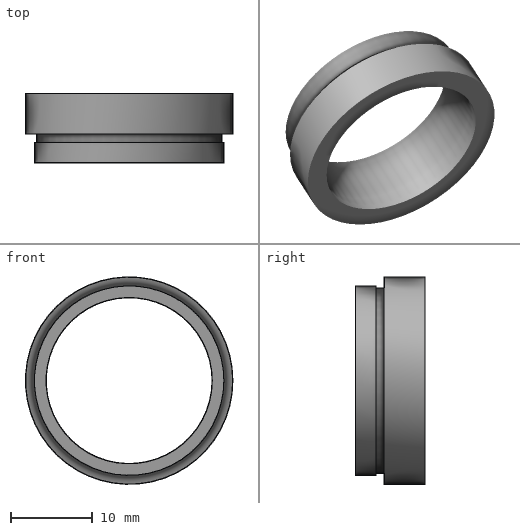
import cadquery as cq

flange_diameter = 25.4
lip_diameter = 23.2
groove_diameter = 22.7
bore_diameter = 20.3

total_length = 8.5
flange_length = 5.0
groove_length = 1.0
lip_length = total_length - flange_length - groove_length


def disc(diameter, start_y, length):
    """Solid cylinder along +Y, starting at start_y."""
    plane = cq.Workplane("XZ", origin=(0, start_y, 0))
    return plane.circle(diameter / 2).extrude(-length)


lip = disc(lip_diameter, 0, lip_length)
groove = disc(groove_diameter, lip_length, groove_length)
flange = disc(flange_diameter, lip_length + groove_length, flange_length)

bore = disc(bore_diameter, 0, total_length)

result = lip.union(groove).union(flange).cut(bore)